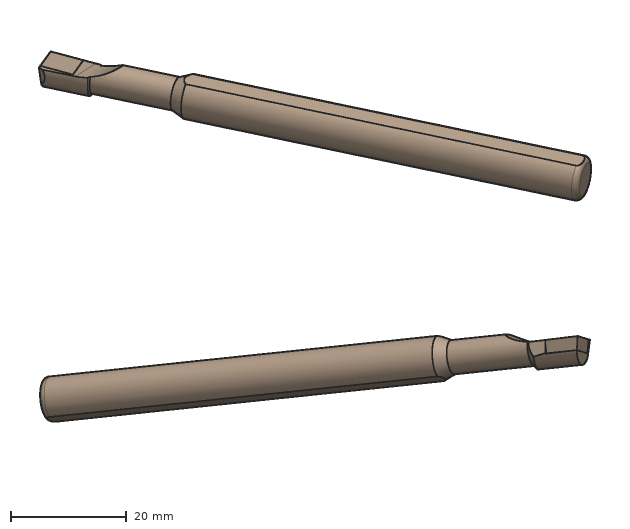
import cadquery as cq
import math

total_length = 100.0
shank_radius = 4.0
shank_flat_height = 3.65
shank_start = 27.1
shank_end_fillet = 1.1
neck_radius = 3.0
neck_overlap = 1.0
flare_start = 24.8

head_radius = 3.85
head_center_y = 0.6
head_end = 9.9
head_corner_chamfer = 0.7
head_side_angle = 6.5

tip_y = 4.5
tip_z = 0.1
rake_angle = 10.0
rake_length = 8.8
runout_radius = 11.0
runout_angle = 50.0
runout_yaw = 12.0

insert_thickness = 2.4
insert_length = 6.3
insert_width = 6.3
insert_side_angle = head_side_angle
insert_side_relief = 7.0
lead_angle = 3.2
front_relief_angle = 10.0

front_overhang = 2.0
clearance = 20.0


def place_on_rake(shape):
    """Move a shape from the cutting tip's own frame to the tilted rake face."""
    tilted = shape.rotate((0, 0, 0), (1, 0, 0), -rake_angle)
    return tilted.translate((0, tip_y, tip_z))


def make_shank_and_neck():
    turned = (
        cq.Workplane("XY")
        .moveTo(head_end - neck_overlap, 0)
        .lineTo(head_end - neck_overlap, neck_radius)
        .lineTo(flare_start, neck_radius)
        .lineTo(shank_start, shank_radius)
        .lineTo(total_length, shank_radius)
        .lineTo(total_length, 0)
        .close()
        .revolve(360, (0, 0, 0), (1, 0, 0))
        .faces(">X").edges().fillet(shank_end_fillet)
    )
    between_flats = cq.Workplane("XY").box(
        2 * total_length, 2 * clearance, 2 * shank_flat_height
    )
    return turned.intersect(between_flats)


def make_head():
    """Eccentric head, its +Y side tapered and its far end coned down to the neck."""
    head_start = -front_overhang
    cylinder = (
        cq.Workplane("YZ", origin=(head_start, 0, 0))
        .center(head_center_y, 0)
        .circle(head_radius)
        .extrude(head_end - head_start)
    )
    cone_rim_radius = head_radius + 2 * head_center_y
    cone_length = cone_rim_radius - neck_radius
    end_cone = (
        cq.Workplane("XY")
        .moveTo(head_start, 0)
        .lineTo(head_start, cone_rim_radius)
        .lineTo(head_end - cone_length, cone_rim_radius)
        .lineTo(head_end, neck_radius)
        .lineTo(head_end, 0)
        .close()
        .revolve(360, (0, 0, 0), (1, 0, 0))
    )
    beyond_side = (
        cq.Workplane("XY")
        .box(4 * clearance, clearance, 2 * clearance, centered=(True, False, True))
        .rotate((0, 0, 0), (0, 0, 1), -head_side_angle)
        .translate((0, tip_y, 0))
    )
    return cylinder.intersect(end_cone).cut(beyond_side)


def make_front_clearance():
    """Everything ahead of the front face, which leans back below the tip."""
    ahead = cq.Workplane("XY").box(clearance, 4 * clearance, 4 * clearance)
    ahead = ahead.translate((-clearance / 2, 0, 0))
    ahead = ahead.rotate((0, 0, 0), (0, 1, 0), -front_relief_angle)
    return place_on_rake(ahead.rotate((0, 0, 0), (0, 0, 1), lead_angle))


def make_rake_clearance():
    """Everything above the rake face and its concave run-out into the neck."""
    def runout_point(angle):
        a = math.radians(angle)
        return (rake_length + runout_radius * math.sin(a), runout_radius * (1 - math.cos(a)))

    end_x, end_z = runout_point(runout_angle)
    above = (
        cq.Workplane("XZ")
        .moveTo(-clearance, 0)
        .lineTo(rake_length, 0)
        .threePointArc(runout_point(runout_angle / 2), (end_x, end_z))
        .lineTo(end_x, clearance)
        .lineTo(-clearance, clearance)
        .close()
        .extrude(clearance, both=True)
        .rotate((rake_length, 0, 0), (rake_length, 0, 1), -runout_yaw)
    )
    return place_on_rake(above)


def make_insert_block(side_overhang):
    """Insert volume before its front face is cut, widened on +Y by an overhang."""
    side_slope = math.tan(math.radians(insert_side_angle))
    end_slope = math.tan(math.radians(lead_angle))

    def rear_corner(y):
        x = insert_length - y * end_slope
        return (x, y - side_slope * x)

    block = (
        cq.Workplane("XY")
        .polyline([
            (-front_overhang, side_overhang + side_slope * front_overhang),
            rear_corner(side_overhang),
            rear_corner(-insert_width),
            (-front_overhang, -insert_width + side_slope * front_overhang),
        ])
        .close()
        .extrude(-insert_thickness)
    )
    return place_on_rake(block)


def make_side_clearance():
    """Everything beyond the insert's +Y side, which leans inward below the tip."""
    beyond = cq.Workplane("XY").box(
        2 * clearance, clearance, 2 * clearance, centered=(True, False, True)
    )
    beyond = beyond.rotate((0, 0, 0), (1, 0, 0), -insert_side_relief)
    return place_on_rake(beyond.rotate((0, 0, 0), (0, 0, 1), -insert_side_angle))


def make_corner_clearance():
    """Chamfer where the front face meets the -Y side of the head."""
    corner_x = insert_width * math.tan(math.radians(lead_angle))
    corner_y = head_center_y - head_radius
    size = 2 * head_corner_chamfer
    return (
        cq.Workplane("XY")
        .polyline([
            (corner_x - size, corner_y + size),
            (corner_x + size, corner_y),
            (corner_x + size, corner_y - size),
            (corner_x - size, corner_y - size),
        ])
        .close()
        .extrude(clearance, both=True)
    )


def make_bar():
    bar = make_shank_and_neck().union(make_head())
    bar = bar.cut(make_front_clearance()).cut(make_rake_clearance())
    return bar.cut(make_insert_block(clearance)).cut(make_corner_clearance())


def make_insert():
    return make_insert_block(0).cut(make_front_clearance()).cut(make_side_clearance())


bar = make_bar()
insert = make_insert()
result = cq.Compound.makeCompound([bar.val(), insert.val()])